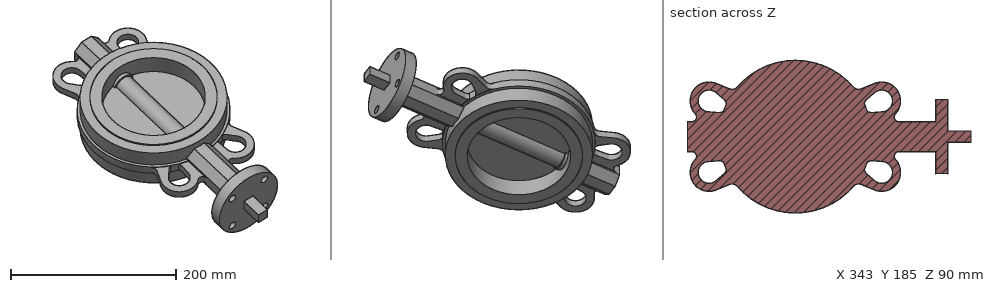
import cadquery as cq
import math


bore_radius = 62.5
body_radius = 89.0
body_height = 55.0
seat_radius = 77.0
seat_lip = 2.0
band_radius = 92.5
band_height = 11.5

neck_across_flats = 36.5
neck_sides = 8
neck_start_x = -130.5
flange_start_x = 169.5
flange_thickness = 15.0
flange_radius = 45.0
flange_hole_diameter = 10.0
flange_hole_circle_radius = 35.0
flange_hole_count = 4
stem_square = 14.0
stem_end_x = 212.5

disc_thickness = 8.0
shaft_radius = 12.5
collar_radius = 14.5
collar_length = 5.0

lug_thickness = 10.0
lug_angle = 22.5
lug_centre_distance = 113.0
lug_radius = 23.0
slot_outer_radius = 13.0
slot_inner_radius = 9.0
slot_inner_distance = 100.0
neck_fillet = 5.5
band_fillet = 8.5

neck_half = neck_across_flats / 2
full_height = body_height + 2 * seat_lip
flange_end_x = flange_start_x + flange_thickness


def polar(radius, degrees):
    """Point at a given distance and angle from the origin."""
    angle = math.radians(degrees)
    return (radius * math.cos(angle), radius * math.sin(angle))


def offset(point, radius, degrees):
    """Point on a circle about the given point."""
    dx, dy = polar(radius, degrees)
    return (point[0] + dx, point[1] + dy)


def bearing(start, end):
    """Direction in degrees from one point to another."""
    return math.degrees(math.atan2(end[1] - start[1], end[0] - start[0]))


def disc_z(radius, height):
    """Cylinder along Z centred on the XY plane."""
    return cq.Workplane("XY").circle(radius).extrude(height / 2, both=True)


def rod_x(radius, start_x, end_x):
    """Cylinder along the X axis."""
    return cq.Workplane("YZ").workplane(offset=start_x).circle(radius).extrude(end_x - start_x)


def make_body():
    body = disc_z(body_radius, body_height)
    body = body.union(disc_z(seat_radius, full_height))
    return body.union(disc_z(band_radius, band_height))


def make_neck():
    """Octagonal bar with flats facing Y and Z; it runs on through the body until the bore is cut."""
    neck = cq.Workplane("YZ").workplane(offset=neck_start_x)
    neck = neck.polygon(neck_sides, neck_across_flats, circumscribed=True)
    return neck.extrude(flange_start_x - neck_start_x)


def make_flange():
    flange = rod_x(flange_radius, flange_start_x, flange_end_x)
    holes = (
        cq.Workplane("YZ")
        .workplane(offset=flange_start_x)
        .polarArray(flange_hole_circle_radius, 180 / flange_hole_count, 360, flange_hole_count)
        .circle(flange_hole_diameter / 2)
        .extrude(flange_thickness)
    )
    return flange.cut(holes)


def make_stem():
    stem = cq.Workplane("YZ").workplane(offset=flange_end_x).rect(stem_square, stem_square)
    return stem.extrude(stem_end_x - flange_end_x)


def make_lug():
    """Lug in the +X +Y quadrant, blended into the neck and the band."""
    centre = polar(lug_centre_distance, lug_angle)

    neck_blend_y = neck_half + neck_fillet
    neck_blend_x = centre[0] + math.sqrt((lug_radius + neck_fillet) ** 2 - (centre[1] - neck_blend_y) ** 2)
    neck_blend = (neck_blend_x, neck_blend_y)
    toward_neck = 270
    neck_blend_bearing = bearing(neck_blend, centre)
    neck_blend_mid_bearing = (neck_blend_bearing + toward_neck) / 2

    blend_side = lug_radius + band_fillet
    blend_along = math.sqrt((band_radius + band_fillet) ** 2 - blend_side ** 2)
    blend_angle = lug_angle + bearing((0, 0), (blend_along, blend_side))
    band_blend = polar(band_radius + band_fillet, blend_angle)
    flank_bearing = lug_angle + 90
    band_blend_start = flank_bearing - 180
    band_blend_end = blend_angle - 180

    lug_start_bearing = neck_blend_bearing - 180
    lug_mid_bearing = (lug_start_bearing + flank_bearing) / 2

    plate = (
        cq.Workplane("XY")
        .moveTo(0, 0)
        .lineTo(neck_blend_x, 0)
        .lineTo(neck_blend_x, neck_half)
        .threePointArc(
            offset(neck_blend, neck_fillet, neck_blend_mid_bearing),
            offset(neck_blend, neck_fillet, neck_blend_bearing),
        )
        .threePointArc(
            offset(centre, lug_radius, lug_mid_bearing),
            offset(centre, lug_radius, flank_bearing),
        )
        .lineTo(*offset(band_blend, band_fillet, band_blend_start))
        .threePointArc(
            offset(band_blend, band_fillet, (band_blend_start + band_blend_end) / 2),
            offset(band_blend, band_fillet, band_blend_end),
        )
        .close()
        .extrude(lug_thickness / 2, both=True)
    )
    return plate.cut(make_lug_slot(centre))


def make_lug_slot(outer_centre):
    """Slot narrowing towards the bore: two rounds joined by their common tangents."""
    inner_centre = polar(slot_inner_distance, lug_angle)
    spacing = lug_centre_distance - slot_inner_distance
    tangent_angle = math.degrees(math.acos((slot_inner_radius - slot_outer_radius) / spacing))
    upper = lug_angle + tangent_angle
    lower = lug_angle - tangent_angle
    return (
        cq.Workplane("XY")
        .moveTo(*offset(inner_centre, slot_inner_radius, lower))
        .lineTo(*offset(outer_centre, slot_outer_radius, lower))
        .threePointArc(
            offset(outer_centre, slot_outer_radius, lug_angle),
            offset(outer_centre, slot_outer_radius, upper),
        )
        .lineTo(*offset(inner_centre, slot_inner_radius, upper))
        .threePointArc(
            offset(inner_centre, slot_inner_radius, lug_angle + 180),
            offset(inner_centre, slot_inner_radius, lower),
        )
        .close()
        .extrude(lug_thickness / 2, both=True)
    )


def make_disc():
    """Closed disc with its shaft tube, and a collar at each end of the tube."""
    disc = disc_z(bore_radius, disc_thickness)
    disc = disc.union(rod_x(shaft_radius, -bore_radius, bore_radius))
    collar = rod_x(collar_radius, bore_radius - collar_length, bore_radius)
    disc = disc.union(collar).union(collar.mirror("YZ"))
    return disc.intersect(disc_z(bore_radius, full_height))


shell = make_lug()
shell = shell.union(shell.mirror("YZ"))
shell = shell.union(shell.mirror("XZ"))
shell = shell.union(make_body()).union(make_neck())
shell = shell.cut(disc_z(bore_radius, full_height))

result = shell.union(make_flange()).union(make_stem()).union(make_disc())